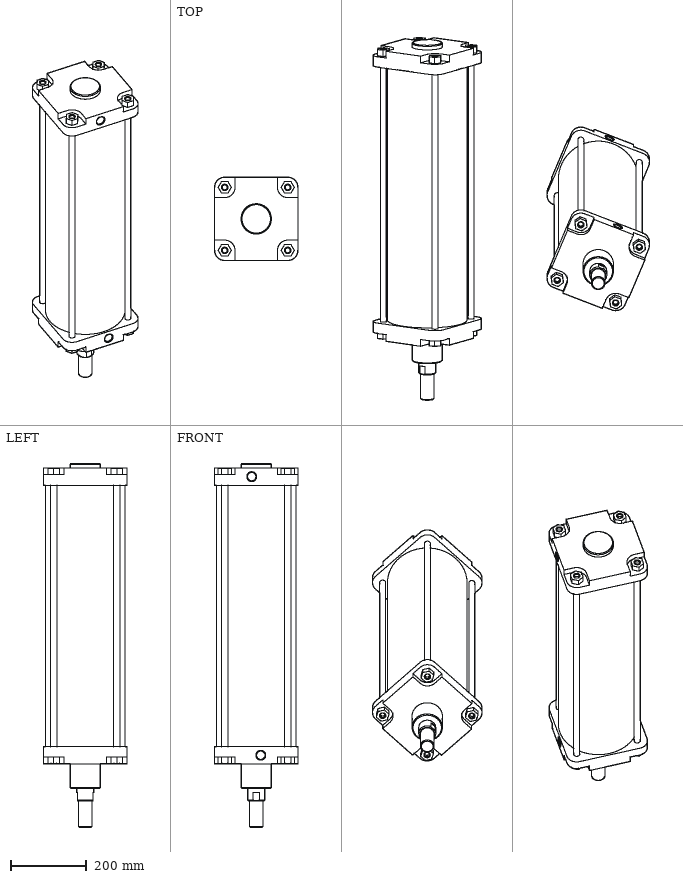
import cadquery as cq
import math


HEAD_SIDE = 220.0
BODY_LENGTH = 780.0
HEAD_THICKNESS = 46.0
CORNER_RADIUS = 27.0
BOSS_DIAMETER = 80.0
BOSS_CHAMFER = 2.5
REAR_BOSS_HEIGHT = 12.0
FRONT_BOSS_HEIGHT = 64.0

POCKET_RADIUS = 27.0
POCKET_DEPTH = 18.0

PORT_DIAMETER = 26.0
PORT_DRILL_DIAMETER = 22.0
PORT_CHAMFER = (PORT_DIAMETER - PORT_DRILL_DIAMETER) / 2
PORT_DEPTH = 25.0
PORT_OFFSET = 12.0

BARREL_DIAMETER = 210.0
BARREL_LENGTH = BODY_LENGTH - 2 * HEAD_THICKNESS

TIE_ROD_DIAMETER = 16.0
TIE_ROD_OFFSET = HEAD_SIDE / 2 - CORNER_RADIUS
NUT_ACROSS_FLATS = 30.0
NUT_ACROSS_CORNERS = NUT_ACROSS_FLATS / math.cos(math.pi / 6)
NUT_HEIGHT = 16.5
SOCKET_DIAMETER = 13.0
SOCKET_MOUTH_DIAMETER = 17.0
SOCKET_DEPTH = 10.0
SOCKET_COUNTERSINK_ANGLE = 90.0

ROD_DIAMETER = 45.0
COLLAR_LENGTH = 11.0
FLATS_DISTANCE = 42.0
SHOULDER_CHAMFER = 3.0
SHOULDER_DISTANCE = 98.0
ROD_END_DISTANCE = 167.0
THREAD_DIAMETER = 36.0
THREAD_CHAMFER = 2.5

CORNER_SIDES = [(-1, -1), (-1, 1), (1, -1), (1, 1)]
TIE_ROD_POINTS = [
    (x_side * TIE_ROD_OFFSET, y_side * TIE_ROD_OFFSET) for x_side, y_side in CORNER_SIDES
]


def make_head(boss_height):
    """Head with its inner face at Z = 0 and its outer face and boss towards +Z."""
    head = (
        cq.Workplane("XY")
        .rect(HEAD_SIDE, HEAD_SIDE)
        .extrude(HEAD_THICKNESS)
        .edges("|Z")
        .fillet(CORNER_RADIUS)
    )
    boss = (
        cq.Workplane("XY", origin=(0, 0, HEAD_THICKNESS))
        .circle(BOSS_DIAMETER / 2)
        .extrude(boss_height)
        .faces(">Z")
        .chamfer(BOSS_CHAMFER)
    )
    head = head.union(boss)
    for x_side, y_side in CORNER_SIDES:
        head = head.cut(make_corner_pocket(x_side, y_side))
    tie_rod_holes = (
        cq.Workplane("XY")
        .pushPoints(TIE_ROD_POINTS)
        .circle(TIE_ROD_DIAMETER / 2)
        .extrude(HEAD_THICKNESS)
    )
    return head.cut(tie_rod_holes).cut(make_port())


def make_corner_pocket(x_side, y_side):
    """Pocket over one corner of the head, rounded about the tie rod; sides are -1 or 1."""
    side = CORNER_RADIUS + POCKET_RADIUS
    centre_offset = HEAD_SIDE / 2 - side / 2
    inner_edge = ("<X" if x_side > 0 else ">X") + (" and <Y" if y_side > 0 else " and >Y")
    return (
        cq.Workplane("XY", origin=(0, 0, HEAD_THICKNESS - POCKET_DEPTH))
        .center(x_side * centre_offset, y_side * centre_offset)
        .rect(side, side)
        .extrude(POCKET_DEPTH)
        .edges("|Z")
        .edges(inner_edge)
        .fillet(POCKET_RADIUS)
    )


def make_port():
    """Blind port with a countersunk mouth, drilled into the -Y face at mid thickness."""
    mouth = cq.Workplane("XZ", origin=(-PORT_OFFSET, -HEAD_SIDE / 2, HEAD_THICKNESS / 2))
    drill = mouth.circle(PORT_DRILL_DIAMETER / 2).extrude(-PORT_DEPTH)
    countersink = (
        mouth.circle(PORT_DIAMETER / 2)
        .workplane(offset=-PORT_CHAMFER)
        .circle(PORT_DRILL_DIAMETER / 2)
        .loft()
    )
    return drill.union(countersink)


def make_front_head():
    """Head turned over about Y: its boss points to -Z and its port stays on -Y, shifted to +X."""
    return (
        make_head(FRONT_BOSS_HEIGHT)
        .rotate((0, 0, 0), (0, 1, 0), 180)
        .translate((0, 0, HEAD_THICKNESS))
    )


def make_rear_head():
    return make_head(REAR_BOSS_HEIGHT).translate((0, 0, BODY_LENGTH - HEAD_THICKNESS))


def make_barrel():
    return (
        cq.Workplane("XY", origin=(0, 0, HEAD_THICKNESS))
        .circle(BARREL_DIAMETER / 2)
        .extrude(BARREL_LENGTH)
    )


def make_nut():
    """Hexagonal nut on the XY plane with a round recess in its +Z face."""
    return (
        cq.Workplane("XY")
        .polygon(6, NUT_ACROSS_CORNERS)
        .extrude(NUT_HEIGHT)
        .faces(">Z")
        .workplane()
        .cskHole(SOCKET_DIAMETER, SOCKET_MOUTH_DIAMETER, SOCKET_COUNTERSINK_ANGLE, SOCKET_DEPTH)
    )


def make_tie_rod(x, y):
    """Rod through both heads with a nut on each pocket floor."""
    rear_floor = BODY_LENGTH - POCKET_DEPTH
    rod = (
        cq.Workplane("XY", origin=(0, 0, POCKET_DEPTH))
        .circle(TIE_ROD_DIAMETER / 2)
        .extrude(rear_floor - POCKET_DEPTH)
    )
    rear_nut = make_nut().translate((0, 0, rear_floor))
    front_nut = make_nut().rotate((0, 0, 0), (1, 0, 0), 180).translate((0, 0, POCKET_DEPTH))
    return rod.union(rear_nut).union(front_nut).translate((x, y, 0))


def make_piston_rod():
    """Rod end below the front boss: plain collar, two wrench flats and the threaded end."""
    collar = (
        cq.Workplane("XY", origin=(0, 0, -FRONT_BOSS_HEIGHT))
        .circle(ROD_DIAMETER / 2)
        .extrude(-COLLAR_LENGTH)
    )
    wrench_length = SHOULDER_DISTANCE - FRONT_BOSS_HEIGHT - COLLAR_LENGTH
    shoulder_plane = cq.Workplane("XY", origin=(0, 0, -SHOULDER_DISTANCE))
    wrench_section = (
        shoulder_plane.circle(ROD_DIAMETER / 2)
        .extrude(wrench_length)
        .faces("<Z")
        .chamfer(SHOULDER_CHAMFER)
    )
    between_flats = shoulder_plane.rect(ROD_DIAMETER, FLATS_DISTANCE).extrude(wrench_length)
    thread = (
        cq.Workplane("XY", origin=(0, 0, -ROD_END_DISTANCE))
        .circle(THREAD_DIAMETER / 2)
        .extrude(ROD_END_DISTANCE - SHOULDER_DISTANCE)
        .faces("<Z")
        .chamfer(THREAD_CHAMFER)
    )
    return collar.union(wrench_section.intersect(between_flats)).union(thread)


front_head = make_front_head()
rear_head = make_rear_head()
barrel = make_barrel()
tie_rods = [make_tie_rod(x, y) for x, y in TIE_ROD_POINTS]
piston_rod = make_piston_rod()

result = cq.Compound.makeCompound(
    [
        front_head.val(),
        rear_head.val(),
        barrel.val(),
        *[tie_rod.val() for tie_rod in tie_rods],
        piston_rod.val(),
    ]
)